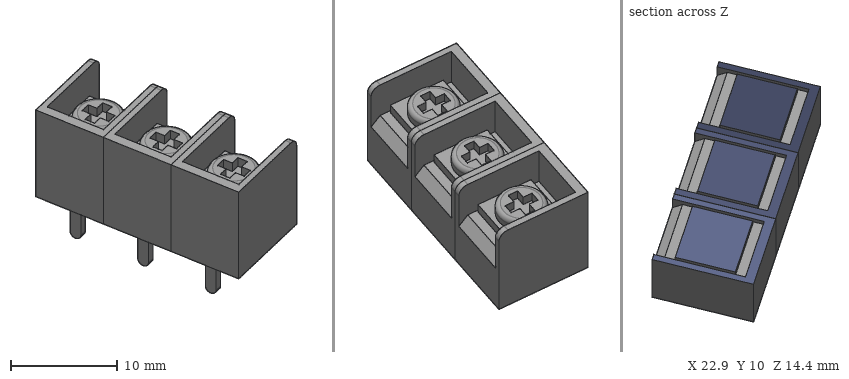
import cadquery as cq

total_width = 22.85
pole_count = 3
pole_pitch = total_width / pole_count
housing_depth = 10.0
total_height = 14.4
pin_length = 4.0
housing_height = total_height - pin_length

side_wall = 0.65
back_wall = 1.0
wall_corner_radius = 1.0
floor_chamfer = 1.0
bay_width = pole_pitch - 2 * side_wall

screw_top_drop = 2.01
head_diameter = 5.0
head_height = 1.2
head_edge_radius = 0.5
plate_side = 5.95
plate_thickness = 1.0
cross_span = 3.0
cross_arm_width = 1.05
cross_depth = 1.0
plate_top = housing_height - screw_top_drop - head_height
floor_height = plate_top - plate_thickness

pin_width = 1.21
pin_thickness = 0.8
pin_back_offset = 1.0
pin_tip_radius = pin_width / 2

back_y = -housing_depth / 2
front_y = housing_depth / 2


def make_housing():
    """Block with an open bay: rounded side walls and a chamfered floor edge."""
    block = (
        cq.Workplane("XY")
        .box(pole_pitch, housing_depth, housing_height, centered=(True, True, False))
        .edges("|X and >Y and >Z")
        .fillet(wall_corner_radius)
    )
    bay = (
        cq.Workplane("YZ")
        .moveTo(back_y + back_wall, floor_height)
        .lineTo(front_y - floor_chamfer, floor_height)
        .lineTo(front_y, floor_height - floor_chamfer)
        .lineTo(front_y, housing_height)
        .lineTo(back_y + back_wall, housing_height)
        .close()
        .extrude(bay_width / 2, both=True)
    )
    return block.cut(bay)


def make_plate():
    """Square terminal plate standing on the bay floor."""
    return (
        cq.Workplane("XY", origin=(0, 0, floor_height))
        .rect(plate_side, plate_side)
        .extrude(plate_thickness)
    )


def make_screw_head():
    """Round head with a rounded rim and a cross recess."""
    head = (
        cq.Workplane("XY", origin=(0, 0, plate_top))
        .circle(head_diameter / 2)
        .extrude(head_height)
        .faces(">Z")
        .edges()
        .fillet(head_edge_radius)
    )
    head_top = cq.Workplane("XY", origin=(0, 0, plate_top + head_height))
    slot_along_x = head_top.rect(cross_span, cross_arm_width).extrude(-cross_depth)
    slot_along_y = head_top.rect(cross_arm_width, cross_span).extrude(-cross_depth)
    return head.cut(slot_along_x).cut(slot_along_y)


def make_pin():
    """Flat pin with a full-round tip, hanging from the housing bottom."""
    half_width = pin_width / 2
    tip_start = -pin_length + pin_tip_radius
    return (
        cq.Workplane("XZ", origin=(0, back_y + pin_back_offset, 0))
        .moveTo(-half_width, 0)
        .lineTo(-half_width, tip_start)
        .threePointArc((0, -pin_length), (half_width, tip_start))
        .lineTo(half_width, 0)
        .close()
        .extrude(-pin_thickness)
    )


def make_pole():
    """One complete pole as a single solid."""
    return make_housing().union(make_plate()).union(make_screw_head()).union(make_pin())


pole = make_pole()
poles = []
for index in range(pole_count):
    pole_x = (index - (pole_count - 1) / 2) * pole_pitch
    poles.append(pole.translate((pole_x, 0, 0)).val())

result = cq.Compound.makeCompound(poles)